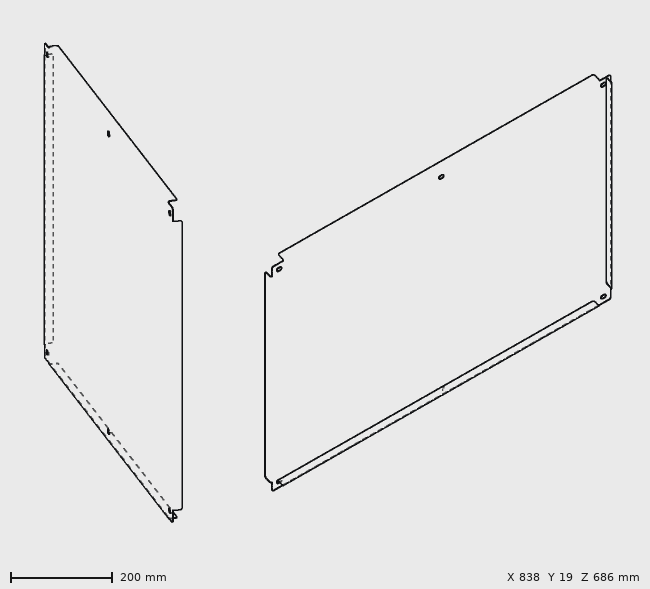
import cadquery as cq

width = 838.0
depth = 19.0
height = 686.0

sheet = 2.0
bend_radius = 4.0
flange_setback = 32.0
plate_corner_radius = 4.0
flange_corner_radius = 4.0

slot_length = 12.5
slot_height = 10.0
slot_inset_x = 22.0
slot_inset_z = 23.0

front = -depth / 2
plate_width = width - 2 * bend_radius
plate_height = height - 2 * bend_radius


def make_plate():
    """Flat face, ending where the bends begin."""
    return (
        cq.Workplane("XY")
        .box(plate_width, sheet, plate_height)
        .edges("|Y")
        .fillet(plate_corner_radius)
        .translate((0, front + sheet / 2, 0))
    )


def make_flange(edge_distance, length):
    """Bend and straight wall on the +X edge, centred along Z."""
    bend_start = edge_distance - bend_radius
    bend_end = front + bend_radius
    inner_radius = bend_radius - sheet
    diagonal = 0.5 ** 0.5
    outer_mid = (bend_start + bend_radius * diagonal, bend_end - bend_radius * diagonal)
    inner_mid = (bend_start + inner_radius * diagonal, bend_end - inner_radius * diagonal)
    overlap = sheet

    return (
        cq.Workplane("XY")
        .moveTo(bend_start - overlap, front)
        .lineTo(bend_start, front)
        .threePointArc(outer_mid, (edge_distance, bend_end))
        .lineTo(edge_distance, depth / 2)
        .lineTo(edge_distance - sheet, depth / 2)
        .lineTo(edge_distance - sheet, bend_end)
        .threePointArc(inner_mid, (bend_start, front + sheet))
        .lineTo(bend_start - overlap, front + sheet)
        .close()
        .extrude(length / 2, both=True)
        .edges("|X and >Y")
        .fillet(flange_corner_radius)
    )


def make_slots():
    """Three mounting slots along the top edge and three along the bottom."""
    x = width / 2 - slot_inset_x
    z = height / 2 - slot_inset_z
    centers = [(column, row) for column in (-x, 0, x) for row in (-z, z)]
    return (
        cq.Workplane("XZ")
        .pushPoints(centers)
        .slot2D(slot_length, slot_height)
        .extrude(depth, both=True)
    )


side_flange = make_flange(width / 2, height - 2 * flange_setback)
end_flange = make_flange(height / 2, width - 2 * flange_setback)
top_flange = end_flange.rotate((0, 0, 0), (0, 1, 0), -90)

result = (
    make_plate()
    .union(side_flange)
    .union(side_flange.mirror("YZ"))
    .union(top_flange)
    .union(top_flange.mirror("XY"))
    .cut(make_slots())
)